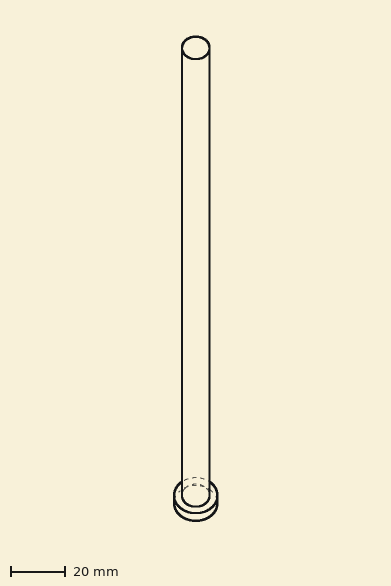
import cadquery as cq

total_length = 289.5
head_diameter = 16.0
head_height = 5.0
shank_diameter = 10.0
shank_length = total_length - head_height

head = cq.Workplane("XY").circle(head_diameter / 2).extrude(head_height)

result = head.faces(">Z").workplane().circle(shank_diameter / 2).extrude(shank_length)